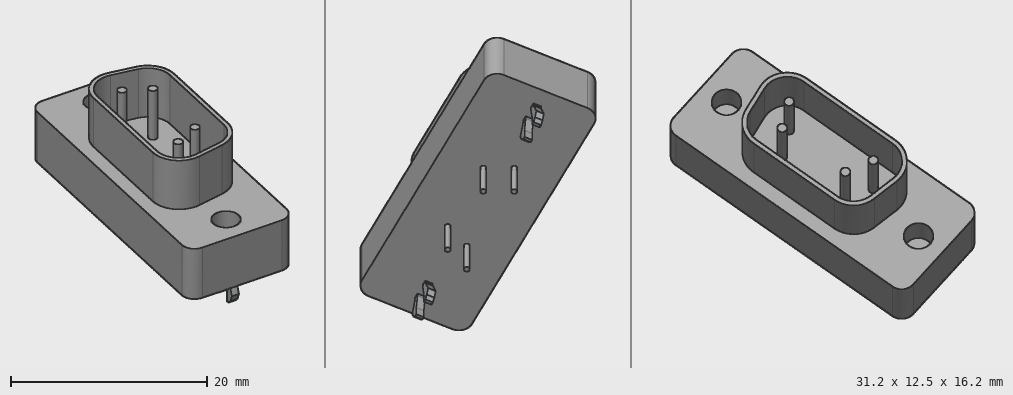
import cadquery as cq
import math

BODY_LENGTH = 31.2
BODY_WIDTH = 12.5
BODY_HEIGHT = 6.2
BODY_CORNER_RADIUS = 1.5

HOLE_SPACING = 25.0
HOLE_DIAMETER = 3.0
HOLE_DEPTH = BODY_HEIGHT / 2

SHELL_HEIGHT = 6.0
SHELL_LENGTH = 17.85
SHELL_WIDTH = 9.3
SHELL_CORNER_RADIUS = 3.15
SHELL_WALL = 0.5
SHELL_SIDE_ANGLE = math.radians(10)

PIN_PITCH = 2.74
ROW_SPACING = 2.84
LONG_ROW_PINS = 5
SHORT_ROW_PINS = 4
PIN_DIAMETER = 1.0
PIN_HEIGHT = SHELL_HEIGHT
TAIL_DIAMETER = 0.6
TAIL_LENGTH = 4.0

PRONG_THICKNESS = 0.85
PRONG_ROOT_INNER = 0.6
PRONG_ROOT_OUTER = 1.2
PRONG_TIP_INNER = 0.88
PRONG_BARB_OUTER = 1.85
PRONG_TAPER_OUTER = 1.55
PRONG_STRAIGHT_DEPTH = 0.35
PRONG_BARB_DEPTH = 2.05
PRONG_TAPER_DEPTH = 2.8
PRONG_LENGTH = 3.2


def make_body():
    """Rounded block with a blind hole near each end."""
    body = cq.Workplane("XY").box(BODY_LENGTH, BODY_WIDTH, BODY_HEIGHT, centered=(True, True, False))
    body = body.edges("|Z").fillet(BODY_CORNER_RADIUS)
    holes = (
        cq.Workplane("XY", origin=(0, 0, BODY_HEIGHT))
        .rarray(HOLE_SPACING, 1, 2, 1)
        .circle(HOLE_DIAMETER / 2)
        .extrude(-HOLE_DEPTH)
    )
    return body.cut(holes)


def d_prism(inset):
    """Rounded trapezoid prism on the body, set in from the shell's outer surface."""
    radius = SHELL_CORNER_RADIUS
    half_width = SHELL_WIDTH / 2
    lower_center_x = SHELL_LENGTH / 2 - radius
    lower_center_y = radius - half_width
    side_x_at_center = lower_center_x + radius / math.cos(SHELL_SIDE_ANGLE)

    def side_x(y):
        return side_x_at_center - (y - lower_center_y) * math.tan(SHELL_SIDE_ANGLE)

    long_half = side_x(-half_width)
    short_half = side_x(half_width)
    corners = [
        (-long_half, -half_width),
        (long_half, -half_width),
        (short_half, half_width),
        (-short_half, half_width),
    ]
    prism = cq.Workplane("XY", origin=(0, 0, BODY_HEIGHT)).polyline(corners).close()
    if inset:
        prism = prism.offset2D(-inset)
    return prism.extrude(SHELL_HEIGHT).edges("|Z").fillet(radius - inset)


def make_shell():
    """Open-topped wall of constant thickness."""
    return d_prism(0).cut(d_prism(SHELL_WALL))


def make_pin(x, y):
    """Contact above the body and its thinner solder tail below it."""
    contact = cq.Workplane("XY", origin=(x, y, 0)).circle(PIN_DIAMETER / 2)
    contact = contact.extrude(BODY_HEIGHT + PIN_HEIGHT)
    tail = cq.Workplane("XY", origin=(x, y, 0)).circle(TAIL_DIAMETER / 2).extrude(-TAIL_LENGTH)
    return contact.union(tail)


def make_prong(hole_x, side):
    """One barbed prong; side is -1 or +1 along X from the hole axis."""
    profile = [
        (PRONG_ROOT_INNER, 0),
        (PRONG_ROOT_OUTER, 0),
        (PRONG_ROOT_OUTER, -PRONG_STRAIGHT_DEPTH),
        (PRONG_BARB_OUTER, -PRONG_BARB_DEPTH),
        (PRONG_TAPER_OUTER, -PRONG_TAPER_DEPTH),
        (PRONG_ROOT_OUTER, -PRONG_LENGTH),
        (PRONG_TIP_INNER, -PRONG_LENGTH),
        (PRONG_TIP_INNER, -PRONG_BARB_DEPTH),
        (PRONG_ROOT_INNER, -PRONG_STRAIGHT_DEPTH),
    ]
    points = [(hole_x + side * x, z) for x, z in profile]
    return cq.Workplane("XZ").polyline(points).close().extrude(PRONG_THICKNESS / 2, both=True)


result = make_body().union(make_shell())

for row_pins, row_y in ((LONG_ROW_PINS, -ROW_SPACING / 2), (SHORT_ROW_PINS, ROW_SPACING / 2)):
    end_pin_x = (row_pins - 1) * PIN_PITCH / 2
    for side in (-1, 1):
        result = result.union(make_pin(side * end_pin_x, row_y))

for hole_x in (-HOLE_SPACING / 2, HOLE_SPACING / 2):
    for side in (-1, 1):
        result = result.union(make_prong(hole_x, side))